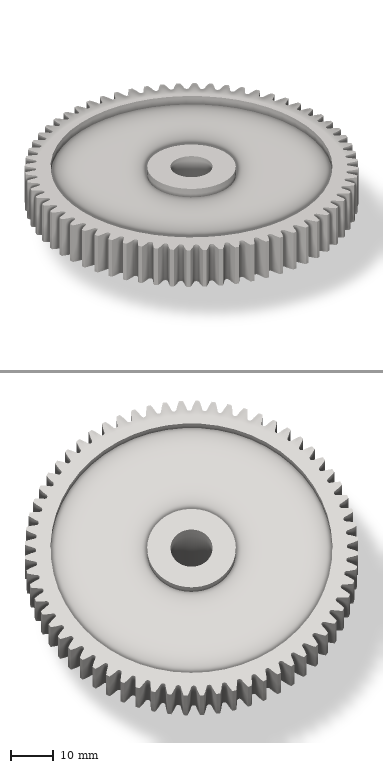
import cadquery as cq
import math

tooth_count = 64
pressure_angle = math.radians(20)
outer_width = 79.15
addendum_count = 2
whole_depth_ratio = 2.25
root_round_depth = 0.5
flank_points = 5

module = outer_width / (tooth_count + addendum_count)
pitch_radius = module * tooth_count / 2
base_radius = pitch_radius * math.cos(pressure_angle)
nominal_tip_radius = outer_width / 2

total_height = 19.0
gear_height = 10.05
rim_inner_diameter = 67.0
hub_diameter = 21.05
bore_diameter = 10.0
recess_depth = 2.3


def involute(angle):
    return math.tan(angle) - angle


def tooth_half_angle(radius):
    """Half of the angle a tooth spans at the given radius."""
    local_pressure_angle = math.acos(base_radius / radius)
    half_angle_at_pitch = math.pi / (2 * tooth_count)
    return half_angle_at_pitch + involute(pressure_angle) - involute(local_pressure_angle)


def polar(radius, angle):
    return (radius * math.cos(angle), radius * math.sin(angle))


half_pitch_angle = math.pi / tooth_count
corner_angle = half_pitch_angle - tooth_half_angle(nominal_tip_radius)
tip_radius = nominal_tip_radius / math.cos(corner_angle)
root_radius = tip_radius - whole_depth_ratio * module
flank_start_radius = root_radius + root_round_depth


def make_toothed_disc():
    """Gear body standing on Z = 0, traced gap by gap around the axis."""
    flank_step = (tip_radius - flank_start_radius) / (flank_points - 1)
    flank_radii = [flank_start_radius + i * flank_step for i in range(flank_points)]
    first_gap_edge = tooth_half_angle(flank_start_radius) - half_pitch_angle
    outline = cq.Workplane("XY").moveTo(*polar(flank_start_radius, first_gap_edge))
    for tooth in range(tooth_count):
        gap_angle = 2 * half_pitch_angle * tooth
        tooth_angle = gap_angle + half_pitch_angle
        rising = [polar(r, tooth_angle - tooth_half_angle(r)) for r in flank_radii]
        falling = [polar(r, tooth_angle + tooth_half_angle(r)) for r in reversed(flank_radii)]
        outline = (
            outline.threePointArc(polar(root_radius, gap_angle), rising[0])
            .spline(rising[1:], includeCurrent=True)
            .threePointArc(polar(tip_radius, tooth_angle), falling[0])
            .spline(falling[1:], includeCurrent=True)
        )
    return outline.close().extrude(gear_height)


def make_recess():
    """Ring between the rim and the hub, sunk into the top face."""
    floor = cq.Workplane("XY").workplane(offset=gear_height - recess_depth)
    return floor.circle(rim_inner_diameter / 2).circle(hub_diameter / 2).extrude(recess_depth)


def make_full_height_cylinder(diameter):
    """Cylinder on the gear axis from the hub's lower end to the gear's top face."""
    bottom = cq.Workplane("XY").workplane(offset=gear_height - total_height)
    return bottom.circle(diameter / 2).extrude(total_height)


hub = make_full_height_cylinder(hub_diameter)
bore = make_full_height_cylinder(bore_diameter)
result = make_toothed_disc().cut(make_recess()).union(hub).cut(bore)